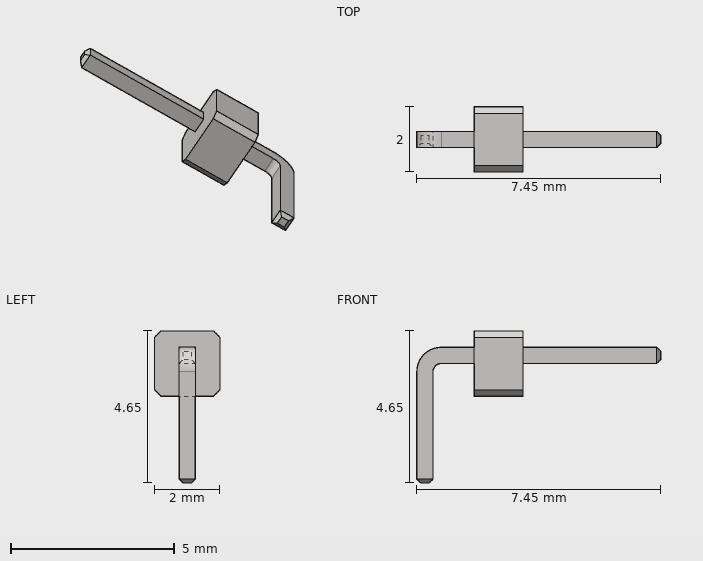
import cadquery as cq


housing_length = 1.5
housing_size = 2.0
housing_chamfer = 0.2
housing_start = 1.75

pin_width = 0.5
pin_reach = 7.45
overall_height = 4.65
bend_inner_radius = 0.25
bend_outer_radius = bend_inner_radius + pin_width
tip_taper = pin_width / 4

pin_axis_z = pin_width / 2
pin_axis_x = pin_width / 2
pin_bottom = housing_size / 2 - overall_height
bend_axis_radius = (bend_inner_radius + bend_outer_radius) / 2


def make_housing():
    """Square block with its four lengthwise edges chamfered."""
    return (
        cq.Workplane("YZ", origin=(housing_start, 0, 0))
        .rect(housing_size, housing_size)
        .extrude(housing_length)
        .edges("|X")
        .chamfer(housing_chamfer)
    )


def make_pin():
    """Square wire running down, through a quarter bend, then along X, with tapered tips."""
    bend_x = pin_axis_x + bend_axis_radius
    bend_z = pin_axis_z - bend_axis_radius
    path = (
        cq.Workplane("XZ")
        .moveTo(pin_axis_x, pin_bottom)
        .lineTo(pin_axis_x, bend_z)
        .radiusArc((bend_x, pin_axis_z), bend_axis_radius)
        .lineTo(pin_reach, pin_axis_z)
    )
    wire = (
        cq.Workplane("XY", origin=(pin_axis_x, 0, pin_bottom))
        .rect(pin_width, pin_width)
        .sweep(path)
    )
    return wire.faces(">X or <Z").chamfer(tip_taper)


result = make_housing().union(make_pin())